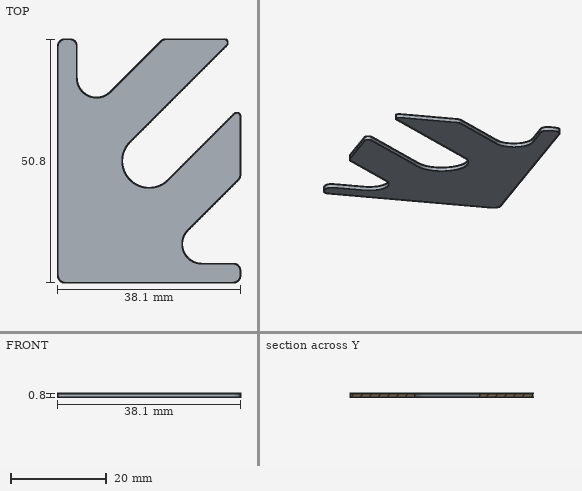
import cadquery as cq
import math

WIDTH = 38.1
HEIGHT = 50.8
THICKNESS = 0.8

MAIN_SLOT_RADIUS = 5.6
MAIN_SLOT_CENTER = (WIDTH / 2, HEIGHT / 2)

NOTCH_RADIUS = 4.05
FINGER_WIDTH = 4.0
UPPER_NOTCH_CENTER = (FINGER_WIDTH + NOTCH_RADIUS, 42.65)
LOWER_NOTCH_CENTER = (30.0, FINGER_WIDTH + NOTCH_RADIUS)

CORNER_RADIUS = 1.5
TIP_RADIUS = 0.75

CUT_LENGTH = 2 * HEIGHT
DIAGONAL = 45.0


def open_slot(center, radius, angle):
    """Round-ended slot running outward from its end centre at the given angle."""
    slot = (
        cq.Workplane("XY")
        .center(CUT_LENGTH / 2, 0)
        .slot2D(CUT_LENGTH + 2 * radius, 2 * radius)
        .extrude(THICKNESS)
    )
    return slot.rotate((0, 0, 0), (0, 0, 1), angle).translate((*center, 0))


def flared_notch(center, straight_angle):
    """Notch with one side parallel to a plate edge and the other diagonal."""
    straight = math.radians(straight_angle)
    diagonal = math.radians(DIAGONAL)
    wedge = (
        cq.Workplane("XY")
        .polyline([
            (0, 0),
            (CUT_LENGTH * math.cos(straight), CUT_LENGTH * math.sin(straight)),
            (CUT_LENGTH * math.cos(diagonal), CUT_LENGTH * math.sin(diagonal)),
        ])
        .close()
        .extrude(THICKNESS)
        .translate((*center, 0))
    )
    return (
        wedge
        .union(open_slot(center, NOTCH_RADIUS, straight_angle))
        .union(open_slot(center, NOTCH_RADIUS, DIAGONAL))
    )


def round_corners(body, points, radius):
    """Fillet the vertical edges nearest to the given corner points."""
    for x, y in points:
        nearest = cq.selectors.NearestToPointSelector((x, y, THICKNESS / 2))
        body = body.edges("|Z").edges(nearest).fillet(radius)
    return body


plate = cq.Workplane("XY").rect(WIDTH, HEIGHT, centered=False).extrude(THICKNESS)
plate = plate.cut(open_slot(MAIN_SLOT_CENTER, MAIN_SLOT_RADIUS, DIAGONAL))
plate = plate.cut(flared_notch(UPPER_NOTCH_CENTER, 90))
plate = plate.cut(flared_notch(LOWER_NOTCH_CENTER, 0))

main_offset = MAIN_SLOT_RADIUS * math.sqrt(2)
notch_offset = NOTCH_RADIUS * math.sqrt(2)

main_x, main_y = MAIN_SLOT_CENTER
upper_x, upper_y = UPPER_NOTCH_CENTER
lower_x, lower_y = LOWER_NOTCH_CENTER

sharp_tips = [
    (main_x + HEIGHT - main_y - main_offset, HEIGHT),
    (WIDTH, main_y + WIDTH - main_x - main_offset),
]
blunt_corners = [
    (0, 0),
    (0, HEIGHT),
    (FINGER_WIDTH, HEIGHT),
    (WIDTH, 0),
    (WIDTH, FINGER_WIDTH),
    (upper_x + HEIGHT - upper_y + notch_offset, HEIGHT),
    (WIDTH, lower_y + WIDTH - lower_x + notch_offset),
]

plate = round_corners(plate, sharp_tips, TIP_RADIUS)
result = round_corners(plate, blunt_corners, CORNER_RADIUS)